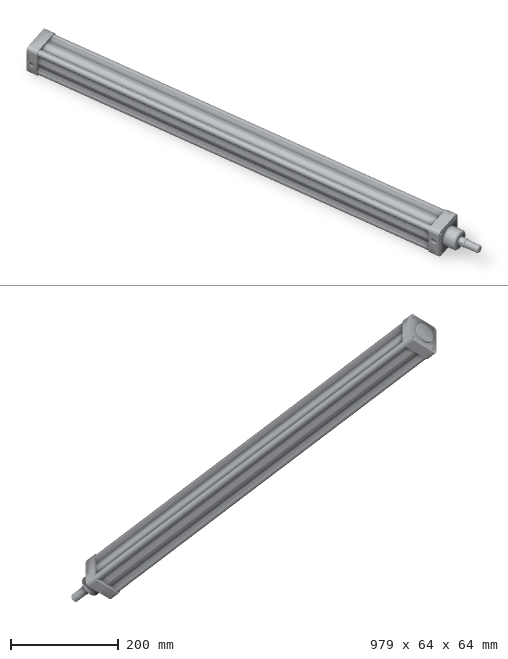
import cadquery as cq
import math


total_length = 979.0
rear_boss_length = 4.0
cap_length = 23.0
front_boss_length = 26.0
rod_reach = 43.0
front_boss_end = total_length - rod_reach
front_cap_end = front_boss_end - front_boss_length
front_cap_start = front_cap_end - cap_length
rear_cap_end = rear_boss_length + cap_length
barrel_length = front_cap_start - rear_cap_end

cap_corner_radius = 8.0
cap_corner_offset = 24.0
cap_width = 2 * (cap_corner_offset + cap_corner_radius)
boss_diameter = 40.0
boss_chamfer = 2.0
screw_diameter = 5.0
screw_depth = 10.0
port_radius = 6.1
port_depth = 10.0
port_height = 6.0

lobe_radius = 6.0
lobe_offset = cap_corner_offset
ridge_height = 27.0
shoulder_half_width = 7.3
shoulder_height = 25.7
groove_half_width = 13.2
groove_height = 23.8
ledge_half_width = 19.0
ledge_height = 27.6

rod_diameter = 18.0
rod_flat_width = 16.0
rod_flat_length = 10.0
neck_length = 14.0
neck_taper_length = 3.0
thread_diameter = 16.0
tip_chamfer = 1.5


def cylinder(diameter, start, length):
    return cq.Workplane("YZ", origin=(start, 0, 0)).circle(diameter / 2).extrude(length)


def cap_block(start, length):
    """Square cap with rounded edges along the axis."""
    block = cq.Workplane("YZ", origin=(start, 0, 0)).rect(cap_width, cap_width).extrude(length)
    return block.edges("|X").fillet(cap_corner_radius)


def screw_holes(start, depth):
    """Four blind corner holes running from start along the axis by depth."""
    return (
        cq.Workplane("YZ", origin=(start, 0, 0))
        .rect(2 * cap_corner_offset, 2 * cap_corner_offset, forConstruction=True)
        .vertices()
        .circle(screw_diameter / 2)
        .extrude(depth)
    )


def port(x, z):
    """Blind round air port in the -Y side."""
    face = cq.Workplane("XZ", origin=(x, -cap_width / 2, z))
    return face.circle(port_radius).extrude(-port_depth)


def make_rear_cap():
    cap = cap_block(rear_boss_length, cap_length)
    cap = cap.union(cylinder(boss_diameter, 0, rear_boss_length))
    cap = cap.cut(screw_holes(rear_boss_length, screw_depth))
    return cap.cut(port(rear_boss_length + cap_length / 2, -port_height))


def make_front_cap():
    cap = cap_block(front_cap_start, cap_length)
    boss = cylinder(boss_diameter, front_cap_end, front_boss_length)
    cap = cap.union(boss.faces(">X").chamfer(boss_chamfer))
    cap = cap.cut(screw_holes(front_cap_end, -screw_depth))
    cap = cap.cut(port(front_cap_start + cap_length / 2, port_height))
    return cap.cut(cylinder(rod_diameter, front_cap_start, front_boss_end - front_cap_start))


def quarter_turned(point, turns):
    """Point turned clockwise about the origin by whole quarter turns."""
    for _ in range(turns):
        point = (point[1], -point[0])
    return point


def make_barrel():
    """Extruded profile: four round corner lobes joined by grooved, slightly ridged sides."""
    lobe_edge = lobe_offset - math.sqrt(lobe_radius**2 - (ledge_height - lobe_offset) ** 2)
    lobe_peak = lobe_offset + lobe_radius * math.sqrt(0.5)
    half_side = [
        (shoulder_half_width, shoulder_height),
        (groove_half_width, groove_height),
        (ledge_half_width, ledge_height),
        (lobe_edge, ledge_height),
    ]
    mirrored_half = [(-y, z) for y, z in reversed(half_side)]
    side = mirrored_half + [(0, ridge_height)] + half_side
    profile = cq.Workplane("YZ", origin=(rear_cap_end, 0, 0)).moveTo(*side[0])
    for turns in range(4):
        for point in side[1:]:
            profile = profile.lineTo(*quarter_turned(point, turns))
        lobe_middle = quarter_turned((lobe_peak, lobe_peak), turns)
        lobe_end = quarter_turned((ledge_height, lobe_edge), turns)
        profile = profile.threePointArc(lobe_middle, lobe_end)
    return profile.close().extrude(barrel_length)


def make_rod():
    """Rod with two wrench flats on its neck, a taper down to the thread and a chamfered tip."""
    neck_end = front_boss_end + neck_length
    rod = cylinder(rod_diameter, front_cap_start, neck_end - front_cap_start)
    taper_depth = (rod_diameter - thread_diameter) / 2
    rod = rod.faces(">X").chamfer(taper_depth, neck_taper_length)
    flat_depth = (rod_diameter - rod_flat_width) / 2
    for side in (-1, 1):
        flat_cutter = cq.Workplane("XY").box(rod_flat_length, flat_depth, rod_diameter)
        flat_y = side * (rod_diameter - flat_depth) / 2
        rod = rod.cut(flat_cutter.translate((front_boss_end + rod_flat_length / 2, flat_y, 0)))
    thread = cylinder(thread_diameter, neck_end, total_length - neck_end)
    return rod.union(thread.faces(">X").chamfer(tip_chamfer))


rear_cap = make_rear_cap()
barrel = make_barrel()
front_cap = make_front_cap()
rod = make_rod()

result = cq.Compound.makeCompound([rear_cap.val(), barrel.val(), front_cap.val(), rod.val()])